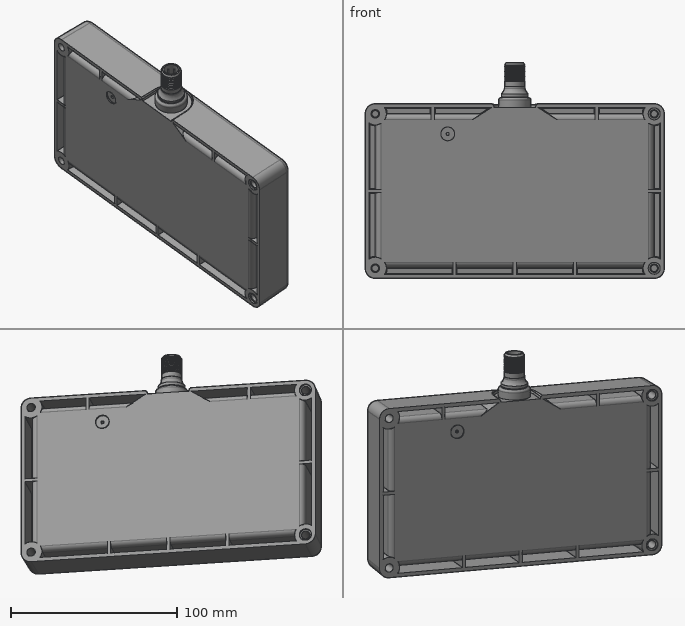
import cadquery as cq
import math

LENGTH = 180.1
HEIGHT = 105.2
DEPTH = 25.8
CORNER_RADIUS = 6.1
SIDE_DRAFT = 1.2
BACK_EDGE_RADIUS = 3.0

HOLE_INSET = 6.1
HOLE_RADIUS = 2.5
HOLE_DEPTH = 19.8
HOLE_DRAFT = 1.5
COUNTERBORE_RADIUS = 3.6
COUNTERBORE_DEPTH = 1.0
CORNER_BOSS_RADIUS = 6.7

POCKET_DEPTH = 19.8
POCKET_DRAFT = 1.5
CORE_INSET = 0.4
CORE_EDGE_RADIUS = 3.2
OUTER_OFFSET = 3.8
RIB_THICKNESS = 2.0
TOP_RIB_X = 49.3
BOTTOM_RIB_X = 36.2
TOP_POCKET_TIP_X = 14.0
TOP_POCKET_SLANT = 11.5

VENT_X = -40.3
VENT_Z = 34.4
VENT_RADIUS = 4.1
VENT_DEPTH = 0.9
VENT_HOLE_RADIUS = 0.9
VENT_HOLE_DEPTH = 1.8

CONNECTOR_Y = 11.7
SEAT_RADIUS = 12.5
SEAT_DEPTH = 2.2
SEAT_CHAMFER = 0.9
SEAT_CHAMFER_ANGLE = 45.0
SEAT_WALL_DRAFT = 20.0

CONNECTOR_HEIGHT = 26.8
BASE_RADIUS = 9.7
BASE_HEIGHT = 5.8
BASE_ROUNDING = 1.5
COLLAR_RADIUS = 8.1
COLLAR_BOTTOM = 6.3
GROOVE_RADIUS = 7.5
COLLAR_TOP = 8.1
CONE_HOLLOW = 0.4
NECK_BOTTOM = 11.3
NECK_TOP = 12.5
NECK_RADIUS = 6.3
THREAD_RADIUS = 6.1
THREAD_PITCH = 1.0
THREAD_GROOVES = 10
THREAD_GROOVE_DEPTH = 0.5
THREAD_START = 15.5
TIP_CHAMFER = 0.9
SOCKET_RADIUS = 4.3
SOCKET_DEPTH = 9.0
PIN_COUNT = 4
PIN_CIRCLE_RADIUS = 2.5
PIN_RADIUS = 0.5
PIN_LENGTH = 7.2

HOLE_X = LENGTH / 2 - HOLE_INSET
HOLE_Z = HEIGHT / 2 - HOLE_INSET
SEAT_Z = HEIGHT / 2 - SEAT_DEPTH


def front_plane():
    """XZ plane on the front face whose normal points to the back (+Y) and whose local x is -X."""
    return cq.Workplane(cq.Plane(origin=(0, 0, 0), xDir=(-1, 0, 0), normal=(0, 1, 0)))


def rod(x, z, radius, depth, draft=0.0):
    """Round bar going back from the front face, narrowing by the draft angle."""
    return front_plane().center(-x, z).circle(radius).extrude(depth, taper=draft)


def make_housing():
    block = front_plane().rect(LENGTH, HEIGHT).extrude(DEPTH, taper=SIDE_DRAFT)
    rounded = block.edges("not (|X or |Z)").fillet(CORNER_RADIUS)
    return rounded.faces(">Y").edges().fillet(BACK_EDGE_RADIUS)


def make_core():
    """Inner block with a rounded front edge and four corner bosses, all widening to the back."""
    width = 2 * (HOLE_X - CORE_INSET)
    height = 2 * (HOLE_Z - CORE_INSET)
    block = front_plane().rect(width, height).extrude(DEPTH, taper=-POCKET_DRAFT)
    core = block.faces("<Y").edges().fillet(CORE_EDGE_RADIUS)
    for x in (-HOLE_X, HOLE_X):
        for z in (-HOLE_Z, HOLE_Z):
            core = core.union(rod(x, z, CORNER_BOSS_RADIUS, DEPTH, -POCKET_DRAFT))
    return core


def rim_pocket(outline, core):
    """Drafted pocket with the outline of (x, z) points, less the core that reaches into it."""
    mirrored = [(-x, z) for x, z in outline]
    well = front_plane().polyline(mirrored).close().extrude(POCKET_DEPTH, taper=POCKET_DRAFT)
    return well.cut(core)


def make_pockets():
    core = make_core()
    half_rib = RIB_THICKNESS / 2
    inner_offset = CORE_INSET + CORE_EDGE_RADIUS
    x_in, x_out = HOLE_X - inner_offset, HOLE_X + OUTER_OFFSET
    z_in, z_out = HOLE_Z - inner_offset, HOLE_Z + OUTER_OFFSET

    def box_outline(x0, x1, z0, z1):
        return [(x0, z0), (x1, z0), (x1, z1), (x0, z1)]

    outlines = []
    for side in (-1, 1):
        for end in (-1, 1):
            outlines.append(box_outline(side * x_in, side * x_out, end * half_rib, end * HOLE_Z))
        outlines.append(box_outline(side * half_rib, side * (BOTTOM_RIB_X - half_rib), -z_out, -z_in))
        outlines.append(box_outline(side * (BOTTOM_RIB_X + half_rib), side * HOLE_X, -z_out, -z_in))
        outlines.append(box_outline(side * (TOP_RIB_X + half_rib), side * HOLE_X, z_in, z_out))
        outlines.append([
            (side * TOP_POCKET_TIP_X, z_out),
            (side * (TOP_RIB_X - half_rib), z_out),
            (side * (TOP_RIB_X - half_rib), z_in),
            (side * (TOP_POCKET_TIP_X + TOP_POCKET_SLANT), z_in),
        ])
    pockets = cq.Workplane()
    for outline in outlines:
        pockets = pockets.add(rim_pocket(outline, core))
    return pockets.combine()


def cut_screw_holes(body):
    """Four drafted holes, with counterbores on the +X pair."""
    for z in (-HOLE_Z, HOLE_Z):
        for x in (-HOLE_X, HOLE_X):
            body = body.cut(rod(x, z, HOLE_RADIUS, HOLE_DEPTH, HOLE_DRAFT))
        body = body.cut(rod(HOLE_X, z, COUNTERBORE_RADIUS, COUNTERBORE_DEPTH))
    return body


def make_vent():
    recess = rod(VENT_X, VENT_Z, VENT_RADIUS, VENT_DEPTH)
    return recess.union(rod(VENT_X, VENT_Z, VENT_HOLE_RADIUS, VENT_DEPTH + VENT_HOLE_DEPTH))


def seat_layer(z, radius, height, draft):
    """U-shaped prism open to the front, widening upwards by the draft angle."""
    open_end = -2 * CONNECTOR_Y
    return (
        cq.Workplane("XY", origin=(0, CONNECTOR_Y, z))
        .moveTo(-radius, 0)
        .threePointArc((0, radius), (radius, 0))
        .lineTo(radius, open_end)
        .lineTo(-radius, open_end)
        .close()
        .extrude(height, taper=-draft)
    )


def make_seat():
    wall_height = SEAT_DEPTH - SEAT_CHAMFER
    rim_radius = SEAT_RADIUS + wall_height * math.tan(math.radians(SEAT_WALL_DRAFT))
    wall = seat_layer(SEAT_Z, SEAT_RADIUS, wall_height, SEAT_WALL_DRAFT)
    return wall.union(seat_layer(SEAT_Z + wall_height, rim_radius, SEAT_CHAMFER, SEAT_CHAMFER_ANGLE))


def make_connector():
    shoulder_radius = BASE_RADIUS - BASE_ROUNDING
    shoulder_mid = BASE_ROUNDING * (1 - math.sqrt(0.5))
    cone_mid_radius = (COLLAR_RADIUS + NECK_RADIUS) / 2 - CONE_HOLLOW
    cone_mid_height = (COLLAR_TOP + NECK_BOTTOM) / 2
    profile = (
        cq.Workplane("XZ")
        .moveTo(0, -SEAT_DEPTH)
        .lineTo(BASE_RADIUS, -SEAT_DEPTH)
        .lineTo(BASE_RADIUS, BASE_HEIGHT - BASE_ROUNDING)
        .threePointArc(
            (BASE_RADIUS - shoulder_mid, BASE_HEIGHT - shoulder_mid),
            (shoulder_radius, BASE_HEIGHT),
        )
        .lineTo(GROOVE_RADIUS, BASE_HEIGHT)
        .lineTo(GROOVE_RADIUS, COLLAR_BOTTOM)
        .lineTo(COLLAR_RADIUS, COLLAR_BOTTOM)
        .lineTo(COLLAR_RADIUS, COLLAR_TOP)
        .threePointArc((cone_mid_radius, cone_mid_height), (NECK_RADIUS, NECK_BOTTOM))
        .lineTo(NECK_RADIUS, NECK_TOP)
        .lineTo(THREAD_RADIUS, NECK_TOP)
        .lineTo(THREAD_RADIUS, THREAD_START)
    )
    for i in range(THREAD_GROOVES):
        bottom = THREAD_START + i * THREAD_PITCH
        profile = profile.lineTo(THREAD_RADIUS - THREAD_GROOVE_DEPTH, bottom + THREAD_PITCH / 2)
        profile = profile.lineTo(THREAD_RADIUS, bottom + THREAD_PITCH)
    profile = profile.lineTo(THREAD_RADIUS - TIP_CHAMFER, CONNECTOR_HEIGHT).lineTo(0, CONNECTOR_HEIGHT)
    body = profile.close().revolve(360, (0, 0, 0), (0, 1, 0))
    socket_floor = CONNECTOR_HEIGHT - SOCKET_DEPTH
    floor_plane = cq.Workplane("XY", origin=(0, 0, socket_floor))
    body = body.cut(floor_plane.circle(SOCKET_RADIUS).extrude(SOCKET_DEPTH))
    pin_centres = floor_plane.polarArray(PIN_CIRCLE_RADIUS, 0, 360, PIN_COUNT)
    pins = pin_centres.circle(PIN_RADIUS).extrude(PIN_LENGTH)
    return body.union(pins).translate((0, CONNECTOR_Y, SEAT_Z))


drilled_housing = cut_screw_holes(make_housing().cut(make_pockets()))
result = (
    drilled_housing
    .cut(make_vent())
    .cut(make_seat())
    .union(make_connector())
)